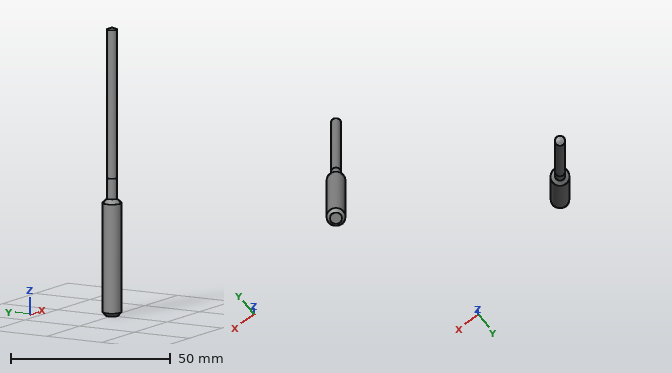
import cadquery as cq

total_length = 92.0
handle_diameter = 6.0
rod_diameter = 3.2
joint_height = 44.0
shoulder_height = 36.0
base_chamfer_height = 1.2
base_chamfer_width = 1.1
tip_height = 0.6

handle_radius = handle_diameter / 2
rod_radius = rod_diameter / 2
base_radius = handle_radius - base_chamfer_width
neck_start = shoulder_height + handle_radius - rod_radius
tip_start = total_length - tip_height


def make_handle():
    """Grip with a chamfered base, a conical shoulder and a slim neck."""
    return (
        cq.Workplane("XZ")
        .lineTo(base_radius, 0)
        .lineTo(handle_radius, base_chamfer_height)
        .lineTo(handle_radius, shoulder_height)
        .lineTo(rod_radius, neck_start)
        .lineTo(rod_radius, joint_height)
        .lineTo(0, joint_height)
        .close()
        .revolve(360, (0, 0), (0, 1))
    )


def make_rod():
    """Straight rod standing on the neck, with a shallow conical end."""
    return (
        cq.Workplane("XZ")
        .moveTo(0, joint_height)
        .lineTo(rod_radius, joint_height)
        .lineTo(rod_radius, tip_start)
        .lineTo(0, total_length)
        .close()
        .revolve(360, (0, 0), (0, 1))
    )


handle = make_handle()
rod = make_rod()
result = cq.Compound.makeCompound([handle.val(), rod.val()])